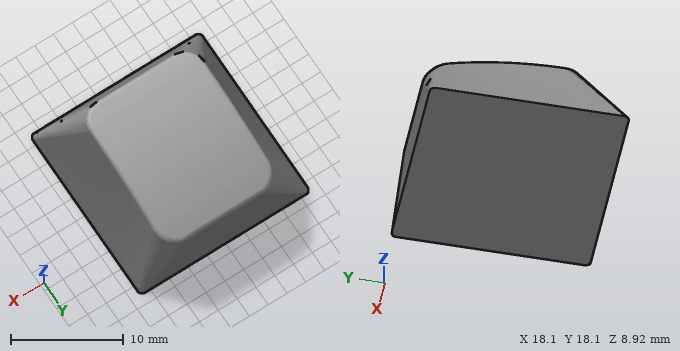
import cadquery as cq
import math

base_size = 18.1
base_corner_radius = 0.49

top_width = 12.02
top_front = -5.72
top_back = 8.8
top_corner_radius = 2.1

height = 8.92
crown_radius = 32.95
crown_y = -3.8
rim_fillet = 0.49


def rounded_prism(width, depth, centre_y, corner_radius):
    """Upright prism with rounded corners, standing on Z = 0."""
    prism = cq.Workplane("XY").center(0, centre_y).rect(width, depth).extrude(height)
    return prism.edges("|Z").fillet(corner_radius)


def edges_around(face, centre_y):
    """Outline edges of a face in order of angle about its centre."""
    def angle(edge):
        middle = edge.positionAt(0.5)
        return math.atan2(middle.y - centre_y, middle.x)

    return sorted(face.outerWire().Edges(), key=angle)


def ruled_wall(lower, upper):
    """Straight-ruled face from a base edge to its top edge, both run in the same direction."""
    points = [lower.startPoint(), lower.positionAt(0.5), lower.endPoint()]
    upper_run = upper.endPoint() - upper.startPoint()
    if (points[2] - points[0]).dot(upper_run) < 0:
        points.reverse()
    if lower.geomType() == "LINE":
        aligned = cq.Edge.makeLine(points[0], points[2])
    else:
        aligned = cq.Edge.makeThreePointArc(*points)
    return cq.Face.makeRuledSurface(aligned, upper.trim(*upper.bounds()))


base_prism = rounded_prism(base_size, base_size, 0, base_corner_radius)
bottom_face = base_prism.faces("<Z").val()

top_depth = top_back - top_front
top_centre_y = (top_back + top_front) / 2
crown = (
    cq.Workplane("YZ")
    .center(crown_y, height - crown_radius)
    .circle(crown_radius)
    .extrude(base_size, both=True)
)
top_prism = rounded_prism(top_width, top_depth, top_centre_y, top_corner_radius).intersect(crown)
top_face = top_prism.faces(">Z").val()

outline_pairs = zip(edges_around(bottom_face, 0), edges_around(top_face, top_centre_y))
walls = [ruled_wall(lower, upper) for lower, upper in outline_pairs]
shell = cq.Shell.makeShell([bottom_face, top_face] + walls)
body = cq.Workplane(obj=cq.Solid.makeSolid(shell))

rim = body.faces(cq.selectors.NearestToPointSelector((0, top_centre_y, height))).edges()
result = rim.fillet(rim_fillet)